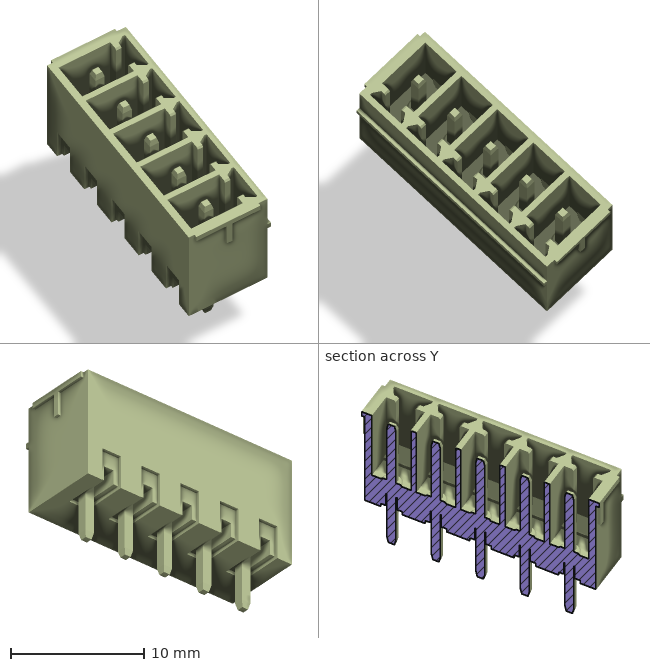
import cadquery as cq
import math

ways = 5
pitch = 3.8
total_length = 20.35

ear_depth = 0.26
body_length = total_length - 2 * ear_depth
body_height = 9.3
front_y = -3.0
back_y = 4.0
wall = 0.61

cavity_width = 3.32
cavity_front_y = front_y + wall
cavity_back_y = 3.52
floor_z = 3.0
rear_floor_z = 3.3
rear_floor_y = 1.81

tooth_front_y = 2.22
tooth_back_y = 2.7
tooth_gap = 1.67
tooth_chamfer = 0.15
taper_gap = 2.52
taper_back_y = 3.32

pin_width = 0.81
pin_bottom_z = -3.5
pin_top_z = 9.08
lower_tip_height = 0.55
lower_tip_width = 0.55
upper_tip_height = 0.5
upper_tip_width = 0.55

collar_diameter = 1.8
collar_top_diameter = 1.53
collar_height = 0.15

wedge_radius = 1.3
wedge_reach = 0.3
wedge_slope = 45.0

recess_width = 1.8
recess_height = 2.83
recess_depth = 0.33
channel_width = 0.92
channel_height = 1.55
groove_height = 0.3

ear_front_y = -2.48
ear_back_y = 3.22
ear_height = 0.49
stem_width = 0.49
stem_y = 0.47
stem_length = 2.52
rail_depth = 0.3
rail_height = 0.49
rail_top_z = 6.3


def box(x_range, y_range, z_range):
    """Axis-aligned box from three (low, high) ranges."""
    size = [high - low for low, high in (x_range, y_range, z_range)]
    corner = (x_range[0], y_range[0], z_range[0])
    return cq.Workplane("XY").box(*size, centered=False).translate(corner)


def centred(width):
    """Range of the given width, centred on zero."""
    return (-width / 2, width / 2)


def housing():
    """Block with T-shaped ribs on both ends and a rail along the back."""
    body = box(centred(body_length), (front_y, back_y), (0, body_height))
    ears = box(
        centred(total_length),
        (ear_front_y, ear_back_y),
        (body_height - ear_height, body_height),
    )
    stems = box(
        centred(total_length),
        (stem_y - stem_width / 2, stem_y + stem_width / 2),
        (body_height - stem_length, body_height),
    )
    rail = box(
        centred(body_length),
        (back_y, back_y + rail_depth),
        (rail_top_z - rail_height, rail_top_z),
    )
    return body.union(ears).union(stems).union(rail)


def cavity():
    """Plug cavity with a dovetail key slot at the back and a raised rear floor."""
    depth = body_height - floor_z
    right_side = [
        (cavity_width / 2, cavity_front_y),
        (cavity_width / 2, tooth_front_y),
        (tooth_gap / 2, tooth_front_y),
        (tooth_gap / 2, tooth_back_y),
        (taper_gap / 2, tooth_back_y),
        (cavity_width / 2, taper_back_y),
        (cavity_width / 2, cavity_back_y),
    ]
    left_side = [(-x, y) for x, y in reversed(right_side)]
    outline = cq.Workplane("XY").workplane(offset=floor_z)
    pocket = outline.polyline(right_side + left_side).close().extrude(depth)
    step = box(centred(cavity_width), (rear_floor_y, cavity_back_y), (floor_z, rear_floor_z))
    return pocket.cut(step).union(tooth_chamfers())


def tooth_chamfers():
    """Flared opening that bevels the top edges of the two facing teeth."""
    half_gap = tooth_gap / 2
    profile = [
        (-half_gap - tooth_chamfer, body_height),
        (half_gap + tooth_chamfer, body_height),
        (half_gap, body_height - tooth_chamfer),
        (-half_gap, body_height - tooth_chamfer),
    ]
    plane = cq.Workplane("XZ", origin=(0, tooth_back_y, 0))
    return plane.polyline(profile).close().extrude(tooth_back_y - tooth_front_y)


def bottom_opening():
    """Front recess, pin channel and shallow underside groove of one way."""
    recess = box(centred(recess_width), (front_y, front_y + recess_depth), (0, recess_height))
    channel = box(centred(channel_width), (front_y, 0), (0, channel_height))
    channel_end = cq.Workplane("XY").circle(channel_width / 2).extrude(channel_height)
    groove = box(centred(recess_width), (front_y, recess_width / 2), (0, groove_height))
    return recess.union(channel).union(channel_end).union(groove)


def tip(base_z, end_z, end_width):
    """Square pyramid frustum from the pin section to a smaller end."""
    base = cq.Workplane("XY").workplane(offset=base_z).rect(pin_width, pin_width)
    return base.workplane(offset=end_z - base_z).rect(end_width, end_width).loft()


def pin():
    """Square contact pin with a tapered tip at each end."""
    shank_bottom_z = pin_bottom_z + lower_tip_height
    shank_top_z = pin_top_z - upper_tip_height
    shank = box(centred(pin_width), centred(pin_width), (shank_bottom_z, shank_top_z))
    lower_tip = tip(shank_bottom_z, pin_bottom_z, lower_tip_width)
    upper_tip = tip(shank_top_z, pin_top_z, upper_tip_width)
    return shank.union(lower_tip).union(upper_tip)


def collar():
    """Conical collar on the cavity floor."""
    base = cq.Workplane("XY").workplane(offset=floor_z).circle(collar_diameter / 2)
    return base.workplane(offset=collar_height).circle(collar_top_diameter / 2).loft()


def wedge():
    """Round-nosed block with a sloping top, against the inside of the front wall."""
    tip_y = cavity_front_y + wedge_reach
    rise = wedge_reach * math.tan(math.radians(wedge_slope))
    profile = [
        (cavity_front_y, floor_z),
        (tip_y, floor_z),
        (cavity_front_y, floor_z + rise),
    ]
    ramp = cq.Workplane("YZ").polyline(profile).close().extrude(wedge_radius, both=True)
    nose = (
        cq.Workplane("XY")
        .workplane(offset=floor_z)
        .center(0, tip_y - wedge_radius)
        .circle(wedge_radius)
        .extrude(rise)
    )
    return ramp.intersect(nose)


connector = housing()
for way in range(ways):
    x = (way - (ways - 1) / 2) * pitch
    for opening in (cavity(), bottom_opening()):
        connector = connector.cut(opening.translate((x, 0, 0)))
    for feature in (collar(), wedge(), pin()):
        connector = connector.union(feature.translate((x, 0, 0)))

result = connector